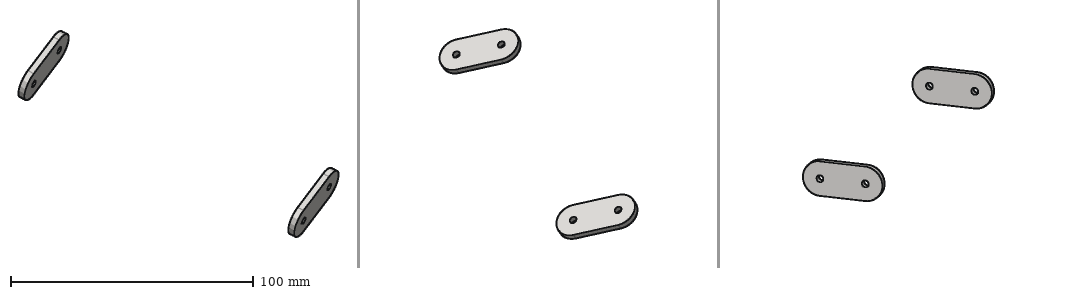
import cadquery as cq

overall_span = 134.0
plate_thickness = 3.0
plate_height = 15.0
hole_spacing = 20.0
hole_diameter = 3.0

plate_length = hole_spacing + plate_height
plate_offset = (overall_span - plate_thickness) / 2


def make_link_plate(center_x):
    """Round-ended plate, flat across X, with a through hole at each end centre."""
    plate = (
        cq.Workplane("YZ", origin=(center_x - plate_thickness / 2, 0, 0))
        .slot2D(plate_length, plate_height)
        .extrude(plate_thickness)
    )
    return (
        plate.faces(">X")
        .workplane(origin=(0, 0, 0))
        .pushPoints([(-hole_spacing / 2, 0), (hole_spacing / 2, 0)])
        .hole(hole_diameter)
    )


link_plates = [make_link_plate(side * plate_offset) for side in (-1, 1)]

result = cq.Compound.makeCompound([plate.val() for plate in link_plates])